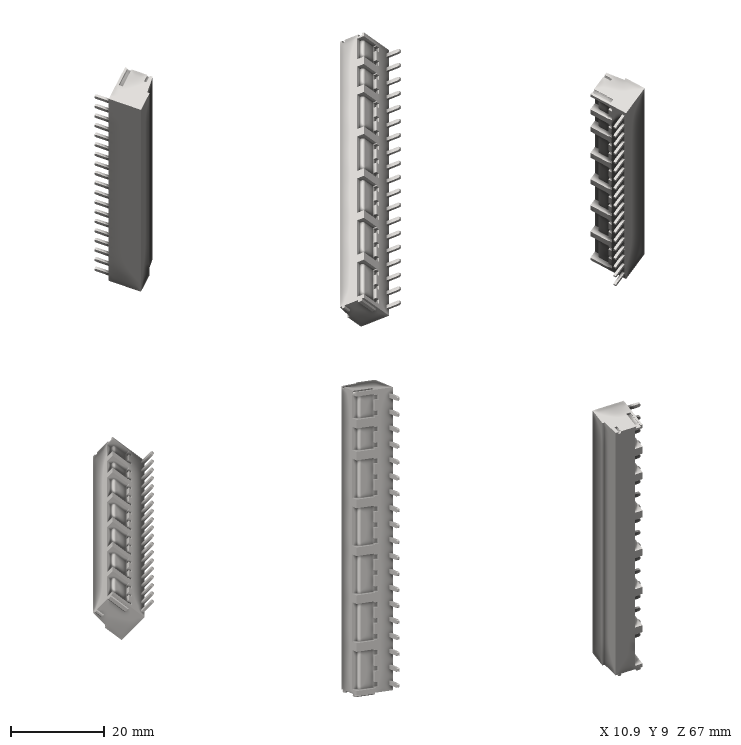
import cadquery as cq


PIN_COUNT = 19
OVERALL_LENGTH = 67.05
RAIL_HEIGHT = 0.55
HOUSING_LENGTH = OVERALL_LENGTH - RAIL_HEIGHT
PITCH = HOUSING_LENGTH / PIN_COUNT
PIN_LENGTH = 3.5
PIN_WIDTH = 0.9
PIN_THICKNESS = 0.6
PIN_Y = 0.7
PIN_TIP_LENGTH = 0.4
PIN_TIP_WIDTH = 0.55

HOUSING_WIDTH = 7.45
HOUSING_DEPTH = 9.0
BACK_WIDTH = 6.4
SLOPE_END_WIDTH = 6.9
LEDGE_Y = 4.75

PINS_PER_RECESS = [2, 2, 3, 3, 3, 3, 3]
RECESS_MARGIN = 0.8
RECESS_FRONT_Y = 4.4
RECESS_DEPTH = 1.0
RECESS_BACK_DEPTH = 1.8
STEP_START_Y = 7.25
STEP_RADIUS = 0.6

NOTCH_FRONT_Y = 3.55
NOTCH_HEIGHT = 1.15
NOTCH_DEPTH = 0.8

RAIL_WIDEST_LEVEL = 0.35
RAIL_FLARE = 0.15
RAIL_TIP_TAPER = 0.2
RAILS = [
    (1.0, 1.2, 4.8),
    (5.4, 0.8, 1.9),
]


def pin_z(index):
    """Height of a pin axis, counted from the upper end."""
    return HOUSING_LENGTH - (index + 0.5) * PITCH


def make_housing():
    outline = [
        (0, 0),
        (HOUSING_WIDTH, 0),
        (HOUSING_WIDTH, LEDGE_Y),
        (SLOPE_END_WIDTH, LEDGE_Y),
        (BACK_WIDTH, HOUSING_DEPTH),
        (0, HOUSING_DEPTH),
    ]
    return cq.Workplane("XY").polyline(outline).close().extrude(HOUSING_LENGTH)


def make_pin(z):
    """Flat pin whose free end narrows along Z."""
    half_width = PIN_WIDTH / 2
    half_tip = PIN_TIP_WIDTH / 2
    taper_x = PIN_TIP_LENGTH - PIN_LENGTH
    outline = [
        (0, z - half_width),
        (taper_x, z - half_width),
        (-PIN_LENGTH, z - half_tip),
        (-PIN_LENGTH, z + half_tip),
        (taper_x, z + half_width),
        (0, z + half_width),
    ]
    front_y = PIN_Y - PIN_THICKNESS / 2
    return (
        cq.Workplane("XZ", origin=(0, front_y, 0))
        .polyline(outline)
        .close()
        .extrude(-PIN_THICKNESS)
    )


def make_recess(first_pin, pin_count):
    """Recess with a rounded step down to its deeper back part."""
    bottom = pin_z(first_pin + pin_count - 1) - RECESS_MARGIN
    height = (pin_count - 1) * PITCH + 2 * RECESS_MARGIN
    step_end_y = STEP_START_Y + STEP_RADIUS
    return (
        cq.Workplane("XY", origin=(0, 0, bottom))
        .moveTo(0, RECESS_FRONT_Y)
        .lineTo(RECESS_DEPTH, RECESS_FRONT_Y)
        .lineTo(RECESS_DEPTH, STEP_START_Y)
        .radiusArc((RECESS_DEPTH + STEP_RADIUS, step_end_y), STEP_RADIUS)
        .lineTo(RECESS_BACK_DEPTH, step_end_y)
        .lineTo(RECESS_BACK_DEPTH, HOUSING_DEPTH)
        .lineTo(0, HOUSING_DEPTH)
        .close()
        .extrude(height)
    )


def make_notch(z):
    length = RECESS_FRONT_Y - NOTCH_FRONT_Y
    return (
        cq.Workplane("XY", origin=(0, NOTCH_FRONT_Y, z))
        .box(NOTCH_DEPTH, length, NOTCH_HEIGHT, centered=(False, False, True))
    )


def make_rail(x, width, length, z):
    """Bar hanging down from height z, running forward from the back face."""
    half_width = width / 2
    half_root = half_width - RAIL_FLARE
    half_tip = half_width - RAIL_TIP_TAPER
    outline = [
        (x - half_root, z),
        (x + half_root, z),
        (x + half_width, z - RAIL_WIDEST_LEVEL),
        (x + half_tip, z - RAIL_HEIGHT),
        (x - half_tip, z - RAIL_HEIGHT),
        (x - half_width, z - RAIL_WIDEST_LEVEL),
    ]
    return (
        cq.Workplane("XZ", origin=(0, HOUSING_DEPTH, 0))
        .polyline(outline)
        .close()
        .extrude(length)
    )


result = make_housing()

recess_start = 0
for pins in PINS_PER_RECESS:
    result = result.cut(make_recess(recess_start, pins))
    recess_start += pins

for pin in range(PIN_COUNT):
    result = result.cut(make_notch(pin_z(pin)))
    result = result.union(make_pin(pin_z(pin)))

for rail in RAILS:
    result = result.union(make_rail(*rail, z=0))
    result = result.cut(make_rail(*rail, z=HOUSING_LENGTH))